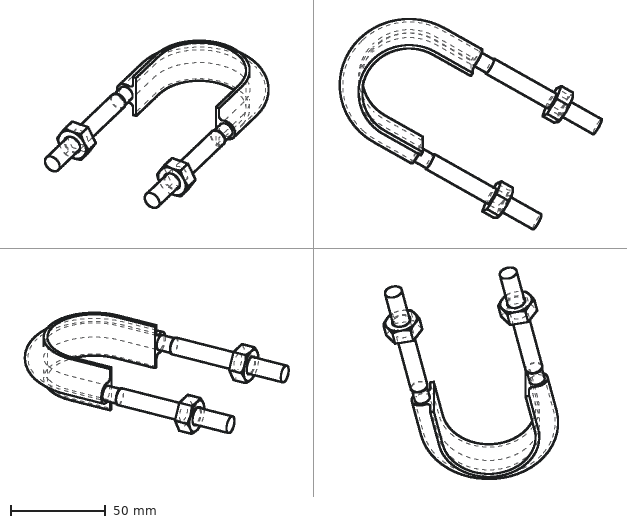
import cadquery as cq
import math

total_length = 134.05
leg_offset = 31.0

rod_diameter = 8.2
thread_diameter = 9.2
thread_length = 66.0

sheath_leg_length = 23.25
strip_inner_radius = 24.75
strip_thickness = 2.0
strip_width = 25.0
tube_radius = 5.75
blend_radius = 2.0

nut_across_flats = 17.0
nut_thickness = 8.0
nut_end_gap = 20.0
nut_chamfer_angle = 30.0
countersink_diameter = 10.0
countersink_depth = (countersink_diameter - thread_diameter) / 2

bend_outer_radius = leg_offset + tube_radius
rod_end_y = bend_outer_radius - total_length
thread_start_y = rod_end_y + thread_length
nut_face_y = rod_end_y + nut_end_gap
leg_sides = (-1, 1)


def leg_cylinder(side, diameter, start_y, end_y):
    """Cylinder on a leg axis, running from start_y toward -Y down to end_y."""
    plane = cq.Workplane("XZ", origin=(side * leg_offset, start_y, 0))
    return plane.circle(diameter / 2).extrude(start_y - end_y)


def make_rod():
    """U-shaped rod with a larger threaded end on each leg."""
    rod = (
        cq.Workplane("XZ")
        .center(leg_offset, 0)
        .circle(rod_diameter / 2)
        .revolve(180, (-leg_offset, 0), (-leg_offset, 1))
    )
    for side in leg_sides:
        rod = rod.union(leg_cylinder(side, rod_diameter, 0, thread_start_y))
        rod = rod.union(leg_cylinder(side, thread_diameter, thread_start_y, rod_end_y))
    return rod.solids()


def sheath_profile(side):
    """Section across one leg of the sheath, with side -1 mirrored to -X."""
    strip_outer = strip_inner_radius + strip_thickness
    half_width = strip_width / 2

    blend_x = strip_outer + blend_radius
    centre_distance = tube_radius + blend_radius
    blend_z = math.sqrt(centre_distance**2 - (leg_offset - blend_x) ** 2)
    tube_share = tube_radius / centre_distance
    tangent_x = leg_offset + (blend_x - leg_offset) * tube_share
    tangent_z = blend_z * tube_share

    tangent_angle = math.atan2(tangent_z - blend_z, tangent_x - blend_x)
    middle_angle = (tangent_angle - math.pi) / 2
    middle_x = blend_x + blend_radius * math.cos(middle_angle)
    middle_z = blend_z + blend_radius * math.sin(middle_angle)

    return (
        cq.Workplane("XZ")
        .moveTo(side * strip_inner_radius, -half_width)
        .lineTo(side * strip_inner_radius, half_width)
        .lineTo(side * strip_outer, half_width)
        .lineTo(side * strip_outer, blend_z)
        .threePointArc((side * middle_x, middle_z), (side * tangent_x, tangent_z))
        .threePointArc((side * bend_outer_radius, 0), (side * tangent_x, -tangent_z))
        .threePointArc((side * middle_x, -middle_z), (side * strip_outer, -blend_z))
        .lineTo(side * strip_outer, -half_width)
        .close()
    )


def make_sheath(rod):
    """U-shaped sheath that the rod passes through."""
    sheath = sheath_profile(1).revolve(180, (0, 0), (0, 1))
    for side in leg_sides:
        sheath = sheath.union(sheath_profile(side).extrude(sheath_leg_length))
    return sheath.cut(rod).solids()


def make_nut(side):
    """Hexagon nut, chamfered and countersunk on its outer face."""
    corner_radius = nut_across_flats / 2 / math.cos(math.pi / 6)
    flat_radius = nut_across_flats / 2
    chamfer_depth = (corner_radius - flat_radius) * math.tan(math.radians(nut_chamfer_angle))
    bore_radius = thread_diameter / 2

    hexagon = cq.Workplane("XY").polygon(6, 2 * corner_radius).extrude(nut_thickness)

    envelope = (
        cq.Workplane("XZ")
        .moveTo(bore_radius, 0)
        .lineTo(corner_radius, 0)
        .lineTo(corner_radius, nut_thickness - chamfer_depth)
        .lineTo(flat_radius, nut_thickness)
        .lineTo(countersink_diameter / 2, nut_thickness)
        .lineTo(bore_radius, nut_thickness - countersink_depth)
        .close()
        .revolve(360, (0, 0), (0, 1))
    )
    nut = hexagon.intersect(envelope).solids()
    nut = nut.rotate((0, 0, 0), (1, 0, 0), 90)
    return nut.translate((side * leg_offset, nut_face_y + nut_thickness, 0))


rod = make_rod()
sheath = make_sheath(rod)
nuts = [make_nut(side) for side in leg_sides]

result = cq.Compound.makeCompound([rod.val(), sheath.val(), *[nut.val() for nut in nuts]])